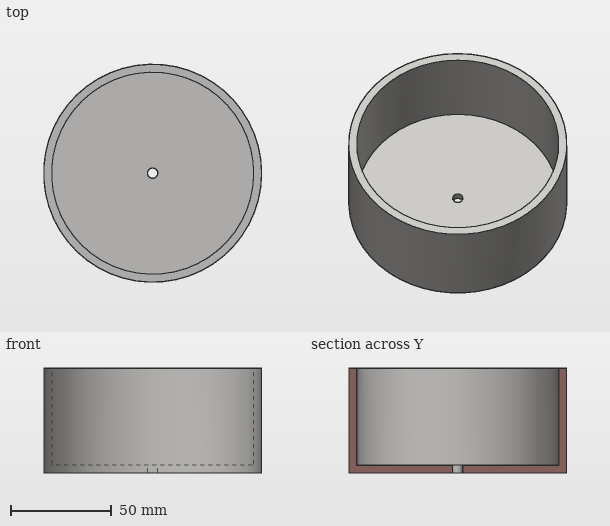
import cadquery as cq

outer_diameter = 108.0
wall_thickness = 4.0
floor_thickness = 4.0
height = 52.0
hole_diameter = 5.0

inner_diameter = outer_diameter - 2 * wall_thickness
cavity_depth = height - floor_thickness

body = cq.Workplane("XY").circle(outer_diameter / 2).extrude(height)

cup = body.faces(">Z").workplane().circle(inner_diameter / 2).cutBlind(-cavity_depth)

result = cup.faces("<Z").workplane().hole(hole_diameter, floor_thickness)